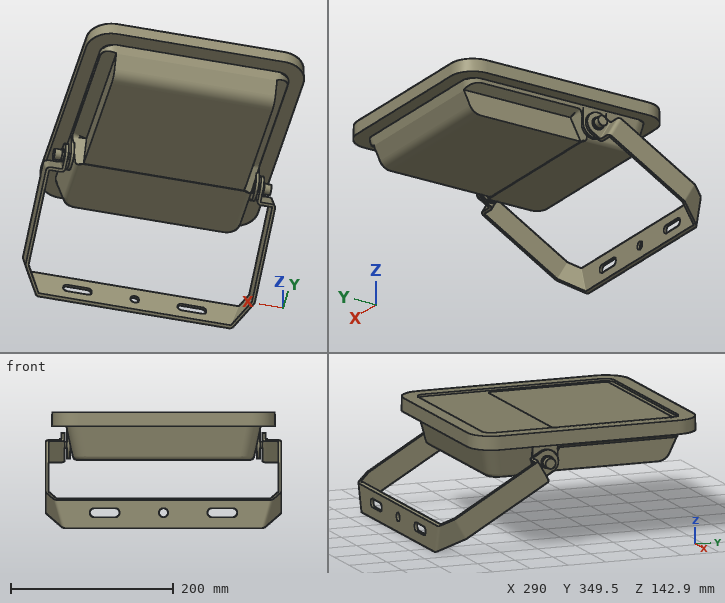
import cadquery as cq
import math

BEZEL_WIDTH = 275.0
BEZEL_LENGTH = 300.2
BEZEL_HEIGHT = 17.5
BEZEL_CORNER = 31.5
BEZEL_DRAFT = 1.5

WINDOW_WIDTH = 234.2
WINDOW_LENGTH = 259.7
WINDOW_Y = -0.7
WINDOW_CORNER = 12.2
WINDOW_SINK = 2.8

PANEL_WIDTH = 218.8
PANEL_LENGTH = 159.5
PANEL_Y = 42.5
PANEL_CORNER = 5.2

HOUSING_WIDTH = 238.7
HOUSING_LENGTH = 262.0
HOUSING_RIM = 1.0
HOUSING_BOTTOM = -59.0
HOUSING_CORNER = 17.5
HOUSING_DRAFT = 12
HOUSING_BOTTOM_FILLET = 6.3

REAR_TOP = -29.5
REAR_BOTTOM = -58.0
REAR_HALF_WIDTH = 101.7
REAR_BORDER_HEIGHT = 6.3
REAR_BORDER_DEPTH = 16.0
REAR_START_TOP_Y = -27.5
REAR_START_BOTTOM_Y = -42.5
REAR_END_TOP_Y = 129.0
REAR_END_BOTTOM_Y = 115.0
REAR_END_FILLET = 17.5

PIVOT_Y = -52.0
PIVOT_Z = -40.5
EAR_OUTER_X = 119.0
EAR_THICKNESS = 4.0
EAR_RADIUS = 16.8
BOSS_DIAMETER = 15.7
BOSS_END_X = 105.0

SHANK_DIAMETER = 8.5
SHANK_END_X = 112.0
COLLAR_DIAMETER = 15.7
COLLAR_THICKNESS = 2.5
HEAD_DIAMETER = 13.3
HEAD_END_X = 137.0

OVERALL_LENGTH = 349.5
BRACKET_WIDTH = 290.0
BRACKET_FRONT_Y = BEZEL_LENGTH / 2 - OVERALL_LENGTH
BRACKET_TILT = 30
STRIP_WIDTH = 30.0
SHEET = 4.0
TAB_OUTER_X = 125.5
JOG_DISTANCE = 13.3
ARM_LENGTH = 141.5
CORNER_ANGLE = 30
OUTER_BEND = 5.0
INNER_BEND = OUTER_BEND - SHEET

HOLE_DIAMETER = 11.0
HOLE_Z = -123.7
SLOT_LENGTH = 36.5
SLOT_X = 72.5

SIDES = (-1, 1)
FAR = 209.7


def rounded_plate(width, length, corner, center_y, top, bottom):
    return (
        cq.Workplane("XY", origin=(0, center_y, bottom))
        .rect(width, length)
        .extrude(top - bottom)
        .edges("|Z")
        .fillet(corner)
    )


def x_cylinder(diameter, start_x, end_x):
    """Round bar along X on the pivot axis."""
    return (
        cq.Workplane("YZ", origin=(start_x, PIVOT_Y, PIVOT_Z))
        .circle(diameter / 2)
        .extrude(end_x - start_x)
    )


def bolt_shank(side):
    return x_cylinder(SHANK_DIAMETER, side * SHANK_END_X, side * TAB_OUTER_X)


def drafted_block(width, length, corner, draft, base_z, end_z):
    """Rounded block that narrows by the draft angle from its base to its end."""
    return (
        cq.Workplane("XY", origin=(0, 0, base_z))
        .rect(width, length)
        .extrude(end_z - base_z, taper=draft)
        .edges("not(#Z)")
        .fillet(corner)
    )


def make_bezel():
    body = drafted_block(BEZEL_WIDTH, BEZEL_LENGTH, BEZEL_CORNER, BEZEL_DRAFT, -BEZEL_HEIGHT, 0)
    return body.cut(rounded_plate(WINDOW_WIDTH, WINDOW_LENGTH, WINDOW_CORNER, WINDOW_Y, 0, -BEZEL_HEIGHT))


def make_panel():
    return rounded_plate(PANEL_WIDTH, PANEL_LENGTH, PANEL_CORNER, PANEL_Y, -WINDOW_SINK, -BEZEL_HEIGHT)


def make_glass():
    pane = rounded_plate(WINDOW_WIDTH, WINDOW_LENGTH, WINDOW_CORNER, WINDOW_Y, -WINDOW_SINK, -BEZEL_HEIGHT)
    return pane.cut(make_panel())


def rear_side_recess(side):
    """Space beside the rear part, with sloped borders."""
    slope = math.degrees(math.atan(REAR_BORDER_HEIGHT / REAR_BORDER_DEPTH))
    return (
        cq.Workplane("YZ", origin=(side * REAR_HALF_WIDTH, 0, 0))
        .polyline([
            (REAR_START_TOP_Y, REAR_TOP),
            (REAR_START_BOTTOM_Y, REAR_BOTTOM),
            (REAR_START_BOTTOM_Y, -FAR),
            (FAR, -FAR),
            (FAR, REAR_TOP),
        ])
        .close()
        .extrude(side * 2 * REAR_BORDER_DEPTH, taper=-slope)
    )


def rear_end_space():
    """Space behind and below the rear part, whose lower back edge is rounded."""
    return (
        cq.Workplane("YZ", origin=(-FAR, 0, 0))
        .moveTo(REAR_START_BOTTOM_Y, REAR_BOTTOM)
        .lineTo(REAR_END_BOTTOM_Y, REAR_BOTTOM)
        .lineTo(REAR_END_TOP_Y, REAR_TOP)
        .lineTo(FAR, REAR_TOP)
        .lineTo(FAR, -FAR)
        .lineTo(REAR_START_BOTTOM_Y, -FAR)
        .close()
        .extrude(2 * FAR)
        .edges(cq.selectors.NearestToPointSelector((0, REAR_END_BOTTOM_Y, REAR_BOTTOM)))
        .fillet(REAR_END_FILLET)
    )


def make_ear(side):
    """Round-ended plate on the pivot, with a boss behind it."""
    plate = (
        cq.Workplane("YZ", origin=(side * EAR_OUTER_X, PIVOT_Y, PIVOT_Z))
        .moveTo(-EAR_RADIUS, 0)
        .threePointArc((0, -EAR_RADIUS), (EAR_RADIUS, 0))
        .lineTo(EAR_RADIUS, -BEZEL_HEIGHT - PIVOT_Z)
        .lineTo(-EAR_RADIUS, -BEZEL_HEIGHT - PIVOT_Z)
        .close()
        .extrude(-side * EAR_THICKNESS)
    )
    return plate.union(x_cylinder(BOSS_DIAMETER, side * (EAR_OUTER_X - EAR_THICKNESS), side * BOSS_END_X))


def make_housing():
    rim_bottom = -BEZEL_HEIGHT - HOUSING_RIM
    block = drafted_block(
        HOUSING_WIDTH, HOUSING_LENGTH, HOUSING_CORNER, HOUSING_DRAFT, rim_bottom, HOUSING_BOTTOM
    )
    block = block.faces("<Z").edges().fillet(HOUSING_BOTTOM_FILLET)
    rim = block.faces(">Z").wires().toPending().workplane().extrude(HOUSING_RIM)
    block = block.union(rim)
    for side in SIDES:
        block = block.cut(rear_side_recess(side))
    block = block.cut(rear_end_space())
    for side in SIDES:
        block = block.union(make_ear(side)).cut(bolt_shank(side))
    return block


def make_bolt(side):
    collar_end = TAB_OUTER_X + COLLAR_THICKNESS
    collar = x_cylinder(COLLAR_DIAMETER, side * TAB_OUTER_X, side * collar_end)
    head = x_cylinder(HEAD_DIAMETER, side * collar_end, side * HEAD_END_X)
    return bolt_shank(side).union(collar).union(head)


def tilted(body):
    """Place a body drawn around the origin, arms along -Y, onto the tilted pivot."""
    return body.rotate((0, 0, 0), (1, 0, 0), BRACKET_TILT).translate((0, PIVOT_Y, PIVOT_Z))


def bracket_envelope(inset, tab_bend, bend):
    """Space enclosed by one face of the bent sheet: the outer face, or one inset from it."""
    tab_x = TAB_OUTER_X - inset
    arm_x = BRACKET_WIDTH / 2 - inset
    jog_y = -JOG_DISTANCE - inset
    corner_y = -ARM_LENGTH + inset * math.tan(math.radians(CORNER_ANGLE / 2))
    end_x = arm_x - (FAR + corner_y) * math.tan(math.radians(CORNER_ANGLE))
    right = [(tab_x, STRIP_WIDTH), (tab_x, jog_y), (arm_x, jog_y), (arm_x, corner_y), (end_x, -FAR)]
    left = [(-x, y) for x, y in reversed(right)]
    prism = (
        cq.Workplane("XY", origin=(0, 0, -STRIP_WIDTH))
        .polyline(right + left)
        .close()
        .extrude(2 * STRIP_WIDTH)
    )
    for x, y, radius in ((tab_x, jog_y, tab_bend), (arm_x, jog_y, bend), (arm_x, corner_y, bend)):
        for side in SIDES:
            prism = prism.edges(cq.selectors.NearestToPointSelector((side * x, y, 0))).fillet(radius)
    behind_crossbar = cq.Workplane("XY", origin=(0, BRACKET_FRONT_Y + inset + FAR, 0)).box(
        2 * FAR, 2 * FAR, 2 * FAR
    )
    return tilted(prism).intersect(behind_crossbar).faces("<Y").edges("not(|X)").fillet(bend)


def make_bracket():
    strip = (
        cq.Workplane("YZ", origin=(-FAR, 0, 0))
        .moveTo(0, STRIP_WIDTH / 2)
        .threePointArc((STRIP_WIDTH / 2, 0), (0, -STRIP_WIDTH / 2))
        .lineTo(-FAR, -STRIP_WIDTH / 2)
        .lineTo(-FAR, STRIP_WIDTH / 2)
        .close()
        .extrude(2 * FAR)
    )
    outside = bracket_envelope(0, INNER_BEND, OUTER_BEND)
    inside = bracket_envelope(SHEET, OUTER_BEND, INNER_BEND)
    body = outside.cut(inside).intersect(tilted(strip))
    openings = (
        cq.Workplane("XZ", origin=(0, BRACKET_FRONT_Y + SHEET, HOLE_Z))
        .circle(HOLE_DIAMETER / 2)
        .pushPoints([(side * SLOT_X, 0) for side in SIDES])
        .slot2D(SLOT_LENGTH, HOLE_DIAMETER)
        .extrude(SHEET)
    )
    body = body.cut(openings)
    for side in SIDES:
        body = body.cut(bolt_shank(side))
    return body


bezel = make_bezel()
glass = make_glass()
panel = make_panel()
housing = make_housing()
bracket = make_bracket()
bolts = [make_bolt(side) for side in SIDES]

result = cq.Compound.makeCompound(
    [bezel.val(), glass.val(), panel.val(), housing.val(), bracket.val(), *[bolt.val() for bolt in bolts]]
)